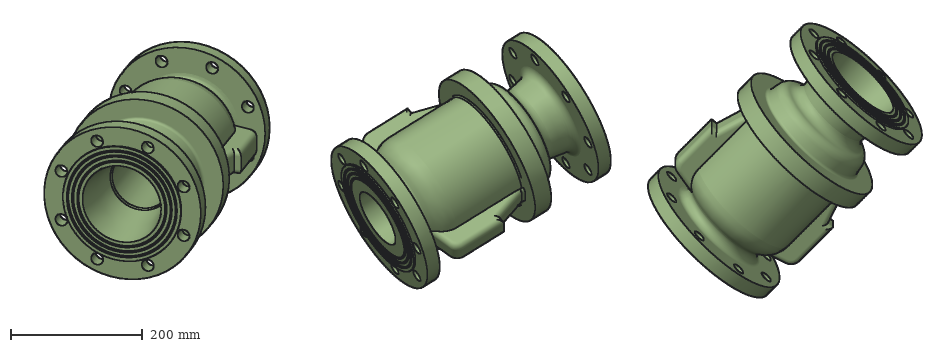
import cadquery as cq
import math

length = 350.0

flange_radius = 250.0 / 2
flange_thickness = 23.5
raised_face_radius = 188.0 / 2
raised_face_height = 3.0
end_depth = flange_thickness + raised_face_height
joint_bottom = 114.8
joint_top = 145.2

bolt_count = 8
bolt_diameter = 19.0
bolt_circle_radius = 105.5

groove_outer_radii = (88.0, 79.8, 71.5)
groove_width = 2.5
groove_depth = 1.0

inlet_foot_radius = 79.0
inlet_cone_start = (65.5, 39.2)
inlet_neck_radius = 61.0
inlet_neck_fillet = 17.0
bowl_center = (71.8, 99.0)
bowl_radius = 17.0
bowl_wall_angle = math.radians(10.5)
bowl_wall_end = 111.0

body_radius = 95.2
body_foot_fillet = 2.5
dome_radius = 41.3
outlet_neck_radius = 71.8
outlet_neck_fillet = 11.5

mouth_radius = 62.5
taper_end_radius = 48.5
taper_depth = 94.5
throat_radius = 46.5
throat_start = 97.5

rib_thickness = 40.0
rib_edge_fillet = 9.0
rib_corner_fillet = 18.0
rib_root = 70.0
rib_top = 292.2
rib_top_slope = math.tan(math.radians(14))
rib_step = 203.5
rib_step_radius = 114.5
rib_lower_slope = math.tan(math.radians(17.4))
rib_flare_start = 151.0
rib_flare = 1.0


def revolve_about_y(profile):
    return profile.close().revolve(360, (0, 0, 0), (0, 1, 0))


def disc(radius, start, end):
    """Solid cylinder on the Y axis between two Y positions."""
    return cq.Workplane("XZ").workplane(offset=-start).circle(radius).extrude(start - end)


def fillet_offset(arc_center_radius, arc_radius, neck_radius, fillet_radius):
    """Y distance from an arc's center to that of the fillet joining it tangentially to a neck."""
    reach = arc_radius + fillet_radius
    return math.sqrt(reach**2 - (neck_radius + fillet_radius - arc_center_radius) ** 2)


def arc_point(center, radius, angle):
    return (center[0] + radius * math.cos(angle), center[1] + radius * math.sin(angle))


def inlet_nozzle():
    offset = fillet_offset(bowl_center[0], bowl_radius, inlet_neck_radius, inlet_neck_fillet)
    fillet_center = (inlet_neck_radius + inlet_neck_fillet, bowl_center[1] - offset)
    bowl_base_angle = -math.atan2(offset, fillet_center[0] - bowl_center[0])
    wall_start = arc_point(bowl_center, bowl_radius, -bowl_wall_angle)
    wall_end_radius = wall_start[0] + (bowl_wall_end - wall_start[1]) * math.tan(bowl_wall_angle)
    neck_fillet_middle = math.pi + bowl_base_angle / 2
    foot_fillet = (joint_bottom - bowl_wall_end) / (1 - math.sin(bowl_wall_angle))
    foot_end_angle = math.pi - bowl_wall_angle
    foot_center = (
        wall_end_radius + foot_fillet * math.cos(bowl_wall_angle),
        joint_bottom - foot_fillet,
    )
    profile = (
        cq.Workplane("XY")
        .moveTo(0, joint_bottom)
        .lineTo(foot_center[0], joint_bottom)
        .threePointArc(
            arc_point(foot_center, foot_fillet, (math.pi / 2 + foot_end_angle) / 2),
            arc_point(foot_center, foot_fillet, foot_end_angle),
        )
        .lineTo(*wall_start)
        .threePointArc(
            arc_point(bowl_center, bowl_radius, (bowl_base_angle - bowl_wall_angle) / 2),
            arc_point(bowl_center, bowl_radius, bowl_base_angle),
        )
        .threePointArc(
            arc_point(fillet_center, inlet_neck_fillet, neck_fillet_middle),
            (inlet_neck_radius, fillet_center[1]),
        )
        .lineTo(*inlet_cone_start)
        .tangentArcPoint((inlet_foot_radius, end_depth), relative=False)
        .lineTo(0, end_depth)
    )
    return revolve_about_y(profile)


def outlet_body():
    foot_center = (body_radius + body_foot_fillet, joint_top + body_foot_fillet)
    neck_end = length - end_depth
    fillet_center = (outlet_neck_radius + outlet_neck_fillet, neck_end - outlet_neck_fillet)
    dome_center_radius = body_radius - dome_radius
    offset = fillet_offset(dome_center_radius, dome_radius, outlet_neck_radius, outlet_neck_fillet)
    dome_center = (dome_center_radius, fillet_center[1] - offset)
    dome_angle = math.atan2(offset, fillet_center[0] - dome_center_radius)
    profile = (
        cq.Workplane("XY")
        .moveTo(0, joint_top)
        .lineTo(foot_center[0], joint_top)
        .threePointArc(
            arc_point(foot_center, body_foot_fillet, math.radians(225)),
            (body_radius, foot_center[1]),
        )
        .lineTo(body_radius, dome_center[1])
        .threePointArc(
            arc_point(dome_center, dome_radius, dome_angle / 2),
            arc_point(dome_center, dome_radius, dome_angle),
        )
        .threePointArc(
            (outlet_neck_radius, fillet_center[1]),
            (fillet_center[0], neck_end),
        )
        .lineTo(0, neck_end)
    )
    return revolve_about_y(profile)


def inlet_flange():
    flange = disc(flange_radius, raised_face_height, end_depth)
    flange = flange.union(disc(raised_face_radius, 0, end_depth))
    bolts = (
        cq.Workplane("XZ")
        .polarArray(bolt_circle_radius, 180 / bolt_count, 360, bolt_count)
        .circle(bolt_diameter / 2)
        .extrude(-end_depth)
    )
    flange = flange.cut(bolts)
    for outer_radius in groove_outer_radii:
        groove = disc(outer_radius, 0, groove_depth)
        groove = groove.cut(disc(outer_radius - groove_width, 0, groove_depth))
        flange = flange.cut(groove)
    return flange


def outlet_flange():
    return inlet_flange().mirror("XZ").translate((0, length, 0))


def side_rib():
    """Rib on the +X side, rooted inside the body and running down into the joint flange."""
    rib_foot = (joint_bottom + joint_top) / 2
    rib_crest = rib_top + (flange_radius - rib_root) * rib_top_slope
    flare_start_radius = rib_step_radius - (rib_step - rib_flare_start) * rib_lower_slope
    foot_radius = flare_start_radius + rib_flare
    outline = [
        (rib_root, rib_foot),
        (foot_radius, rib_foot),
        (foot_radius, joint_top),
        (flare_start_radius, rib_flare_start),
        (rib_step_radius, rib_step),
        (flange_radius, rib_step),
        (flange_radius, rib_top),
        (rib_root, rib_crest),
    ]
    rib = cq.Workplane("XY").polyline(outline).close().extrude(rib_thickness / 2, both=True)
    outer_corner = cq.selectors.NearestToPointSelector((flange_radius, rib_top, 0))
    rib = rib.edges("|Z").edges(outer_corner).fillet(rib_corner_fillet)
    return rib.faces("<Z or >Z").edges().fillet(rib_edge_fillet)


def bore():
    profile = (
        cq.Workplane("XY")
        .lineTo(mouth_radius, 0)
        .lineTo(taper_end_radius, taper_depth)
        .lineTo(throat_radius, throat_start)
        .lineTo(throat_radius, length)
        .lineTo(0, length)
    )
    return revolve_about_y(profile)


result = inlet_flange().union(inlet_nozzle())
result = result.union(disc(flange_radius, joint_bottom, joint_top))
result = result.union(outlet_body()).union(outlet_flange())
rib = side_rib()
result = result.union(rib).union(rib.mirror("YZ"))
result = result.cut(bore())